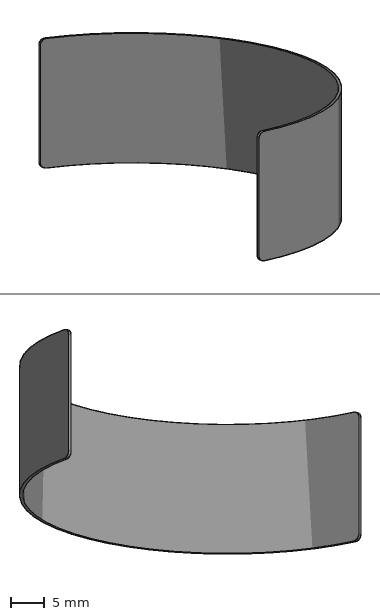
import cadquery as cq
import math

width = 61.75
height = 20.0
thickness = 0.5
sweep_angle = 170.0
corner_radius = 1.0

end_angle = (180.0 - sweep_angle) / 2
outer_radius = width / 2 / math.cos(math.radians(end_angle))
inner_radius = outer_radius - thickness


def curved_band():
    """Sweep the wall section around Z, leaving radial end faces."""
    section = cq.Workplane("XZ").moveTo(inner_radius, 0).rect(thickness, height, centered=False)
    band = section.revolve(sweep_angle, (0, 0, 0), (0, -1, 0))
    return band.rotate((0, 0, 0), (0, 0, 1), 180 - end_angle)


def round_corners(band):
    """Round the corners of both end faces, whose short edges are the only straight horizontal ones."""
    short_edges = band.edges("%LINE").edges("not |Z")
    return short_edges.fillet(corner_radius)


result = round_corners(curved_band())